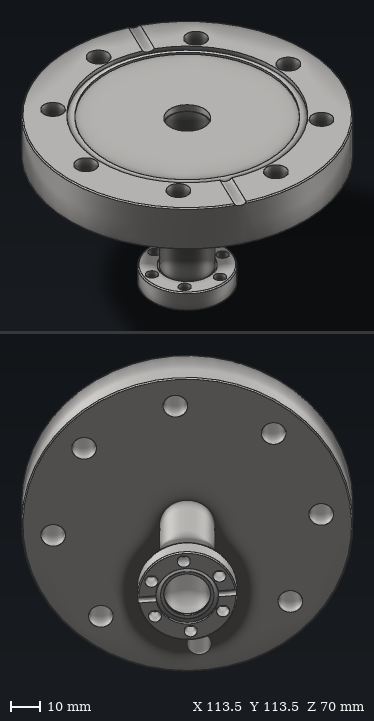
import cadquery as cq
import math

OVERALL_HEIGHT = 70.0

LARGE_DIAMETER = 113.5
LARGE_THICKNESS = 17.3
LARGE_RECESS_DIAMETER = 82.5
LARGE_KNIFE_DIAMETER = 77.0
LARGE_FLOOR_DEPTH = 1.5
LARGE_CHAMFER = 0.5
LARGE_BOLT_COUNT = 8
LARGE_BOLT_CIRCLE = 92.2
LARGE_BOLT_HOLE = 8.4
LARGE_FIRST_BOLT_ANGLE = 180.0 / LARGE_BOLT_COUNT
LARGE_GROOVE_WIDTH = 4.3
LARGE_GROOVE_DEPTH = 0.9
LARGE_LEDGE_THICKNESS = 2.8

SMALL_DIAMETER = 34.0
SMALL_THICKNESS = 7.6
SMALL_RECESS_DIAMETER = 21.5
SMALL_KNIFE_DIAMETER = 18.3
SMALL_FLOOR_DEPTH = 1.1
SMALL_CHAMFER = 0.5
SMALL_BOLT_COUNT = 6
SMALL_BOLT_CIRCLE = 27.0
SMALL_BOLT_HOLE = 4.4
SMALL_GROOVE_ANGLE = 67.5
SMALL_FIRST_BOLT_ANGLE = SMALL_GROOVE_ANGLE - 180.0 / SMALL_BOLT_COUNT
SMALL_GROOVE_WIDTH = 2.3
SMALL_GROOVE_DEPTH = 0.9
SMALL_LEDGE_THICKNESS = 1.4
RELIEF_DIAMETER = 20.5
RELIEF_DEPTH = 0.6

TUBE_OUTER_DIAMETER = 19.0
TUBE_BORE = 16.5
SEAT_DIAMETER = 19.1
FLANGE_BORE = 16.0

KNIFE_SLOPE = 20.0
KNIFE_TIP_DEPTH = 0.7


def disc(diameter, bottom, height):
    """Upright cylinder on the Z axis."""
    return cq.Workplane("XY").workplane(offset=bottom).circle(diameter / 2).extrude(height)


def sealing_recess(recess_diameter, knife_diameter, floor_depth):
    """Volume removed from a sealing face at Z = 0 to leave a sloped knife edge."""
    recess_radius = recess_diameter / 2
    knife_radius = knife_diameter / 2
    slope_drop = (recess_radius - knife_radius) * math.tan(math.radians(KNIFE_SLOPE))
    return (
        cq.Workplane("XZ")
        .moveTo(0, 0)
        .lineTo(recess_radius, 0)
        .lineTo(recess_radius, -KNIFE_TIP_DEPTH - slope_drop)
        .lineTo(knife_radius, -KNIFE_TIP_DEPTH)
        .lineTo(knife_radius, -floor_depth)
        .lineTo(0, -floor_depth)
        .close()
        .revolve(360, (0, 0, 0), (0, 1, 0))
    )


def leak_groove(width, depth, length, recess_diameter):
    """Pair of round-bottomed grooves along X in a face at Z = 0, stopping at the recess wall."""
    radius = ((width / 2) ** 2 + depth ** 2) / (2 * depth)
    groove = (
        cq.Workplane("YZ")
        .center(0, radius - depth)
        .circle(radius)
        .extrude(length / 2, both=True)
    )
    return groove.cut(disc(recess_diameter, -depth, 2 * radius))


def bolt_holes(count, circle_diameter, hole_diameter, first_angle, thickness):
    """Ring of cylinders passing through a flange whose upper face is at Z = 0."""
    return (
        cq.Workplane("XY")
        .polarArray(circle_diameter / 2, first_angle, 360, count)
        .circle(hole_diameter / 2)
        .extrude(-thickness)
    )


def make_large_flange():
    """Large flange with its sealing face at Z = 0."""
    body = disc(LARGE_DIAMETER, -LARGE_THICKNESS, LARGE_THICKNESS).edges().chamfer(LARGE_CHAMFER)
    body = body.cut(leak_groove(
        LARGE_GROOVE_WIDTH, LARGE_GROOVE_DEPTH, LARGE_DIAMETER, LARGE_RECESS_DIAMETER))
    body = body.cut(sealing_recess(LARGE_RECESS_DIAMETER, LARGE_KNIFE_DIAMETER, LARGE_FLOOR_DEPTH))
    body = body.cut(bolt_holes(
        LARGE_BOLT_COUNT, LARGE_BOLT_CIRCLE, LARGE_BOLT_HOLE, LARGE_FIRST_BOLT_ANGLE, LARGE_THICKNESS))
    body = body.cut(disc(FLANGE_BORE, -LARGE_THICKNESS, LARGE_THICKNESS))
    seat_depth = LARGE_THICKNESS - LARGE_FLOOR_DEPTH - LARGE_LEDGE_THICKNESS
    return body.cut(disc(SEAT_DIAMETER, -LARGE_THICKNESS, seat_depth))


def make_small_flange():
    """Small flange with its sealing face facing down at the lowest level."""
    body = disc(SMALL_DIAMETER, 0, SMALL_THICKNESS).edges().chamfer(SMALL_CHAMFER)
    groove = leak_groove(
        SMALL_GROOVE_WIDTH, SMALL_GROOVE_DEPTH, SMALL_DIAMETER, SMALL_RECESS_DIAMETER)
    body = body.cut(groove.mirror("XY").rotate((0, 0, 0), (0, 0, 1), SMALL_GROOVE_ANGLE))
    recess = sealing_recess(SMALL_RECESS_DIAMETER, SMALL_KNIFE_DIAMETER, SMALL_FLOOR_DEPTH)
    body = body.cut(recess.mirror("XY"))
    holes = bolt_holes(
        SMALL_BOLT_COUNT, SMALL_BOLT_CIRCLE, SMALL_BOLT_HOLE, SMALL_FIRST_BOLT_ANGLE, SMALL_THICKNESS)
    body = body.cut(holes.translate((0, 0, SMALL_THICKNESS)))
    body = body.cut(disc(FLANGE_BORE, 0, SMALL_THICKNESS))
    seat_bottom = SMALL_FLOOR_DEPTH + SMALL_LEDGE_THICKNESS
    body = body.cut(disc(SEAT_DIAMETER, seat_bottom, SMALL_THICKNESS - seat_bottom))
    body = body.cut(disc(RELIEF_DIAMETER, SMALL_THICKNESS - RELIEF_DEPTH, RELIEF_DEPTH))
    return body.translate((0, 0, -OVERALL_HEIGHT))


def make_tube():
    """Tube resting against the ledges inside both flanges."""
    top = -LARGE_FLOOR_DEPTH - LARGE_LEDGE_THICKNESS
    bottom = -OVERALL_HEIGHT + SMALL_FLOOR_DEPTH + SMALL_LEDGE_THICKNESS
    outside = disc(TUBE_OUTER_DIAMETER, bottom, top - bottom)
    return outside.cut(disc(TUBE_BORE, bottom, top - bottom))


large_flange = make_large_flange()
small_flange = make_small_flange()
tube = make_tube()

result = cq.Compound.makeCompound([large_flange.val(), small_flange.val(), tube.val()])